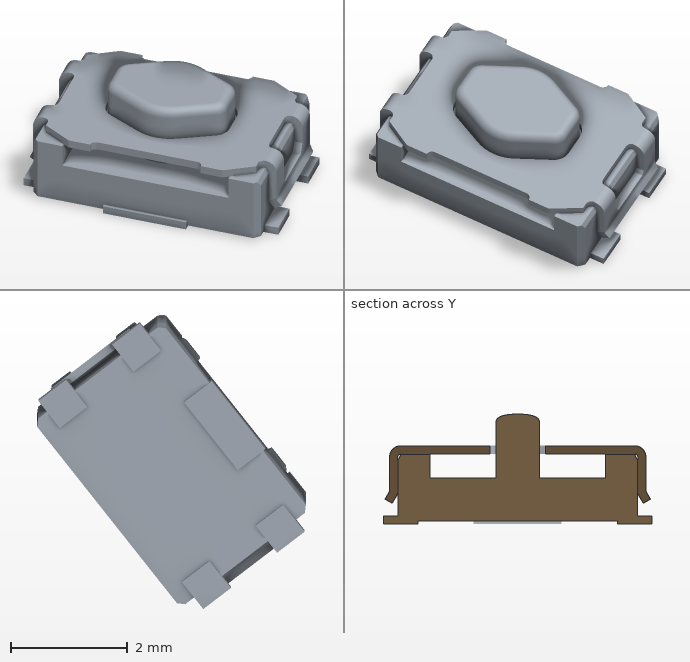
import cadquery as cq
import math

overall_length = 4.6
sheet = 0.145
top_height = 1.9

base_length = 4.105
base_width = 2.795
base_bottom = 0.05
seat_height = 1.2
corner_chamfer = 0.1
bevel_inset = 0.05
bevel_drop = 0.09
channel_length = 3.0
channel_floor = 0.795

end_terminal_inner_y = 0.5
end_terminal_outer_y = 1.1
terminal_depth = 0.6
front_terminal_length = 1.5
front_terminal_projection = 0.055

button_length = 2.145
button_side_y = 0.35
button_apex_y = 0.89
button_side_radius = 0.25
button_apex_radius = 0.75
button_edge_radius = 0.145
button_gap = 0.04

plate_edge_x = 2.0
shoulder_x = 1.9
shoulder_y = 1.1
slant_end_x = 1.39
tab_half_width = 0.895
notch_radius = 0.1
notch_sliver = 0.0005
side_notch_half_length = 1.0
side_notch_depth = 0.1

bend_inner_radius = 0.05
window_half_width = 0.5
window_bottom = 0.655
window_back_chamfer = (0.1, 0.175)
window_front_chamfer = (0.05, 0.075)
lip_angle = 30.0
lip_bend_height = 0.525
lip_length = 0.195
lip_taper = 0.045
lip_fillet = 0.1

base_half_length = base_length / 2
base_half_width = base_width / 2
cover_top = seat_height + sheet
tab_outer_x = base_half_length + sheet
bend_outer_radius = tab_outer_x - plate_edge_x
margin = 0.045


def block(x_range, y_range, z_range):
    """Box between two limits along each axis."""
    (x0, x1), (y0, y1), (z0, z1) = x_range, y_range, z_range
    return cq.Workplane("XY").box(x1 - x0, y1 - y0, z1 - z0, centered=False).translate((x0, y0, z0))


def mirrored_pair(shape):
    """The shape at the +X end together with its mirror image at the -X end."""
    return [shape, shape.mirror("YZ")]


def rounded_hexagon(bottom, height, offset=0.0):
    """Prism of the button outline, grown outward by offset."""
    half_length = button_length / 2
    corners = [
        (half_length, -button_side_y),
        (half_length, button_side_y),
        (0, button_apex_y),
        (-half_length, button_side_y),
        (-half_length, -button_side_y),
        (0, -button_apex_y),
    ]
    prism = cq.Workplane("XY").workplane(offset=bottom).polyline(corners).close().extrude(height)
    prism = prism.edges("|Z").edges("<X or >X").fillet(button_side_radius)
    prism = prism.edges("|Z").edges("<Y or >Y").fillet(button_apex_radius)
    if offset:
        outline = prism.faces("<Z").wires().val().offset2D(offset)
        prism = cq.Workplane("XY").add(outline).toPending().extrude(height)
    return prism


def base_block():
    body = block(
        (-base_half_length, base_half_length),
        (-base_half_width, base_half_width),
        (base_bottom, seat_height),
    )
    body = body.edges("|Z").chamfer(corner_chamfer)
    bevel = (
        cq.Workplane("XZ")
        .polyline([
            (base_half_length, seat_height - bevel_drop),
            (base_half_length, seat_height),
            (base_half_length - bevel_inset, seat_height),
        ])
        .close()
        .extrude(base_half_width, both=True)
    )
    for cutter in mirrored_pair(bevel):
        body = body.cut(cutter)
    channel = block(
        (-channel_length / 2, channel_length / 2),
        (-base_half_width - margin, base_half_width + margin),
        (channel_floor, seat_height + margin),
    )
    return body.cut(channel)


def terminals():
    end_x = overall_length / 2
    end_strip = block(
        (end_x - terminal_depth, end_x),
        (end_terminal_inner_y, end_terminal_outer_y),
        (0, sheet),
    )
    front_y = -base_half_width - front_terminal_projection
    front_strip = block(
        (-front_terminal_length / 2, front_terminal_length / 2),
        (front_y, front_y + terminal_depth),
        (0, sheet),
    )
    return mirrored_pair(end_strip) + mirrored_pair(end_strip.mirror("XZ")) + [front_strip]


def button():
    body = rounded_hexagon(channel_floor, top_height - channel_floor)
    return body.faces(">Z").edges().fillet(button_edge_radius)


def make_base():
    body = base_block()
    for strip in terminals():
        body = body.union(strip)
    return body.union(button())


def slanted_corner():
    """Cutter for the slanted corner at +X +Y, down to the edge of the tab."""
    arc_middle = notch_radius * math.sqrt(0.5)
    return (
        cq.Workplane("XY")
        .workplane(offset=seat_height)
        .moveTo(slant_end_x, base_half_width)
        .lineTo(shoulder_x, shoulder_y)
        .lineTo(shoulder_x, tab_half_width + notch_radius)
        .threePointArc(
            (plate_edge_x - arc_middle, tab_half_width + notch_radius - arc_middle),
            (plate_edge_x, tab_half_width),
        )
        .lineTo(plate_edge_x, base_half_width)
        .close()
        .extrude(sheet)
    )


def end_notch():
    """Cutter between the two legs of the tab at +X."""
    notch = block(
        (shoulder_x, plate_edge_x),
        (-window_half_width, window_half_width),
        (seat_height, cover_top),
    )
    return rounded_notch(notch, "<X")


def side_notch():
    """Cutter for the shallow recess along the +Y side."""
    notch = block(
        (-side_notch_half_length, side_notch_half_length),
        (base_half_width - side_notch_depth, base_half_width),
        (seat_height, cover_top),
    )
    return rounded_notch(notch, "<Y")


def rounded_notch(notch, inner_side):
    """Round the two inner corners of a notch, leaving a sliver of its straight sides."""
    return notch.edges("|Z").edges(inner_side).fillet(notch_radius - notch_sliver)


def cover_plate():
    plate = block(
        (-plate_edge_x, plate_edge_x),
        (-base_half_width, base_half_width),
        (seat_height, cover_top),
    )
    corner = slanted_corner()
    cutters = mirrored_pair(corner) + mirrored_pair(corner.mirror("XZ"))
    cutters += mirrored_pair(end_notch())
    cutters += [side_notch(), side_notch().mirror("XZ")]
    cutters.append(rounded_hexagon(seat_height, sheet, button_gap))
    for cutter in cutters:
        plate = plate.cut(cutter)
    return plate


def end_tab():
    """Tab at +X: bend, upright leg, window and outward lip."""
    angle = math.radians(lip_angle)
    along = (math.sin(angle), -math.cos(angle))
    across = (math.cos(angle), math.sin(angle))

    pivot = (base_half_length, lip_bend_height)
    tip_inner = (pivot[0] + lip_length * along[0], pivot[1] + lip_length * along[1])
    tip_outer = (tip_inner[0] + sheet * across[0], tip_inner[1] + sheet * across[1])

    hollow_z = lip_bend_height + sheet * math.tan(angle / 2)
    setback = lip_fillet * math.tan(angle / 2)
    fillet_end = (tab_outer_x + setback * along[0], hollow_z + setback * along[1])
    fillet_start = (tab_outer_x, hollow_z + setback)
    fillet_middle = (
        tab_outer_x + lip_fillet * (1 - math.cos(angle / 2)),
        fillet_start[1] - lip_fillet * math.sin(angle / 2),
    )

    bend_z = cover_top - bend_outer_radius
    diagonal = math.sqrt(0.5)
    tab = (
        cq.Workplane("XZ")
        .moveTo(plate_edge_x, seat_height)
        .lineTo(plate_edge_x, cover_top)
        .threePointArc(
            (plate_edge_x + bend_outer_radius * diagonal, bend_z + bend_outer_radius * diagonal),
            (tab_outer_x, bend_z),
        )
        .lineTo(*fillet_start)
        .threePointArc(fillet_middle, fillet_end)
        .lineTo(*tip_outer)
        .lineTo(*tip_inner)
        .lineTo(*pivot)
        .lineTo(base_half_length, bend_z)
        .threePointArc(
            (plate_edge_x + bend_inner_radius * diagonal, bend_z + bend_inner_radius * diagonal),
            (plate_edge_x, seat_height),
        )
        .close()
        .extrude(tab_half_width, both=True)
    )

    lip_plane = cq.Plane(
        origin=(pivot[0], 0, pivot[1]),
        xDir=(0, 1, 0),
        normal=(across[0], 0, across[1]),
    )
    side_wedge = (
        cq.Workplane(lip_plane)
        .polyline([
            (tab_half_width, 0),
            (tab_half_width, -lip_length),
            (tab_half_width - lip_taper, -lip_length),
        ])
        .close()
        .extrude(sheet + margin)
    )
    return tab.cut(side_wedge).cut(side_wedge.mirror("XZ")).cut(tab_window())


def tab_window():
    """Cutter for the opening between the legs, with a chamfer at each lower corner."""
    back_y, back_z = window_back_chamfer
    front_y, front_z = window_front_chamfer
    window_top = cover_top + margin
    return (
        cq.Workplane("YZ")
        .workplane(offset=plate_edge_x)
        .polyline([
            (window_half_width, window_top),
            (window_half_width, window_bottom + back_z),
            (window_half_width - back_y, window_bottom),
            (front_y - window_half_width, window_bottom),
            (-window_half_width, window_bottom + front_z),
            (-window_half_width, window_top),
        ])
        .close()
        .extrude(bend_outer_radius + margin)
    )


def make_cover():
    cover = cover_plate()
    for tab in mirrored_pair(end_tab()):
        cover = cover.union(tab)
    return cover


base = make_base()
cover = make_cover()
result = cq.Compound.makeCompound([base.val(), cover.val()])